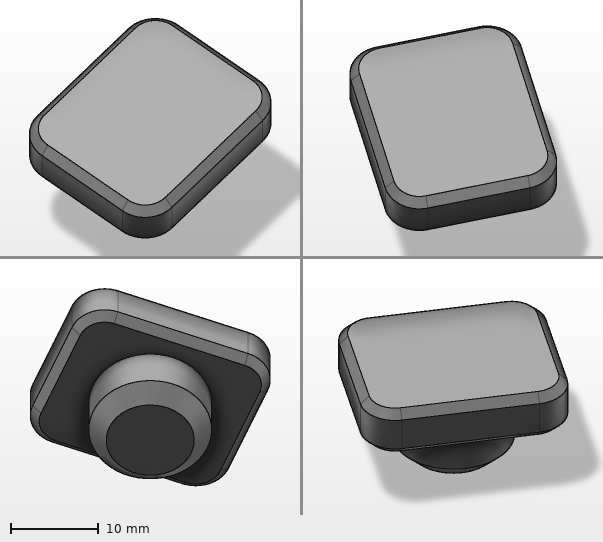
import cadquery as cq

head_width = 20.0
head_length = 24.0
head_thickness = 6.0
corner_radius = 4.0
head_chamfer = 1.0

total_height = 13.0
post_diameter = 14.0
post_chamfer = 2.0
post_length = total_height - head_thickness


def make_head():
    """Plate with rounded corners, chamfered around both faces; underside at Z = 0."""
    return (
        cq.Workplane("XY")
        .rect(head_width, head_length)
        .extrude(head_thickness)
        .edges("|Z")
        .fillet(corner_radius)
        .faces("<Z or >Z")
        .edges()
        .chamfer(head_chamfer)
    )


def make_post():
    """Cylinder hanging from the head, with a tapered lower end."""
    return (
        cq.Workplane("XY")
        .circle(post_diameter / 2)
        .extrude(-post_length)
        .faces("<Z")
        .edges()
        .chamfer(post_chamfer)
    )


result = make_head().union(make_post())